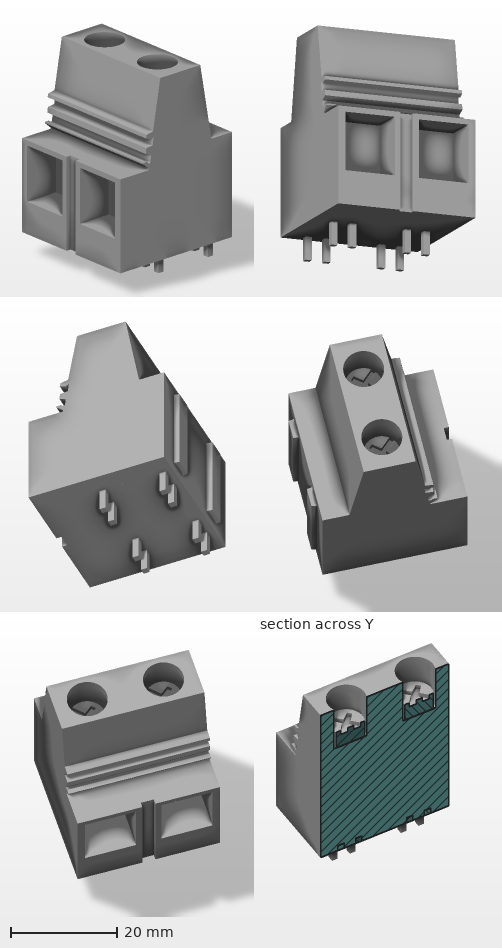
import cadquery as cq


width = 28.0
depth = 27.98
height = 36.95
front_shelf_z = 19.03
back_shelf_z = 21.25
tower_front_y = 10.0
tower_back_y = 20.0
tower_back_foot_y = 22.8

pole_pitch = 15.0
pole_x = [-pole_pitch / 2, pole_pitch / 2]

opening_width = 10.05
opening_height = 11.35
opening_depth = 7.2
opening_floor_z = 6.6
groove_width = 2.55
groove_depth = 1.0

rail_depth = 1.08
rail_root_width = 4.1
rail_tip_width = 3.75
rail_bottom_z = 2.1
rail_top_z = 19.15

screw_y = 15.0
access_hole_diameter = 7.7
access_hole_depth = 10.0
screw_diameter = 7.0
screw_height = 3.98
drive_depth = 1.0
blade_slot_width = 1.0
cross_length = 4.97
cross_tip_width = 1.0
cross_middle_width = 1.5
drive_angle = -45

leg_size = 1.25
leg_length = 4.5
leg_front_y = 13.55
leg_back_y = 25.95
clip_spacing = 3.85
clip_shift = 0.1
clip_x = [x + clip_shift + side * clip_spacing / 2 for x in pole_x for side in (-1, 1)]


def side_extrusion(points, length):
    """Extrude an outline of (y, z) points along X, centred on X = 0."""
    return cq.Workplane("YZ").polyline(points).close().extrude(length / 2, both=True)


def make_housing_blank():
    """Body without cuts or rails, with its sloped tower and the three fins across the tower's front."""
    upper_fin = [(8.15, 26.6), (6.55, 26.32), (6.42, 25.6), (7.4, 25.1), (8.35, 25.45)]
    middle_fin = [(8.1, 23.8), (6.5, 23.63), (6.35, 22.5), (7.7, 21.85)]
    lower_fin = [(7.5, 20.55), (7.17, 20.35), (6.67, 20.8), (5.75, 20.8), (5.75, 20.5), (7.15, 19.3)]
    fin_foot_y = lower_fin[-1][0]
    outline = [
        (0, 0),
        (depth, 0),
        (depth, back_shelf_z),
        (tower_back_foot_y, back_shelf_z),
        (tower_back_y, height),
        (tower_front_y, height),
        *upper_fin,
        *middle_fin,
        *lower_fin,
        (fin_foot_y, front_shelf_z),
        (0, front_shelf_z),
    ]
    return side_extrusion(outline, width)


def make_rail(x):
    """Rail on the back face, narrowing away from the housing."""
    outline = [
        (x - rail_root_width / 2, depth),
        (x + rail_root_width / 2, depth),
        (x + rail_tip_width / 2, depth + rail_depth),
        (x - rail_tip_width / 2, depth + rail_depth),
    ]
    rail = cq.Workplane("XY").workplane(offset=rail_bottom_z).polyline(outline).close()
    return rail.extrude(rail_top_z - rail_bottom_z)


def make_opening(x):
    """Rectangular wire opening, cut in from the front face."""
    opening = cq.Workplane("XY").box(
        opening_width, opening_depth, opening_height, centered=(True, False, False)
    )
    return opening.translate((x, 0, opening_floor_z))


def make_access_hole(x):
    """Round hole from the tower top down to the foot of the screw."""
    hole = cq.Workplane("XY").circle(access_hole_diameter / 2).extrude(access_hole_depth)
    return hole.translate((x, screw_y, height - access_hole_depth))


def make_clip(x):
    """Clip with a front and a back leg."""
    outline = [
        (leg_front_y - leg_size / 2, -leg_length),
        (leg_front_y + leg_size / 2, -leg_length),
        (leg_front_y + leg_size / 2, 0),
        (leg_back_y - leg_size / 2, 0),
        (leg_back_y - leg_size / 2, -leg_length),
        (leg_back_y + leg_size / 2, -leg_length),
        (leg_back_y + leg_size / 2, leg_size),
        (leg_front_y - leg_size / 2, leg_size),
    ]
    return side_extrusion(outline, leg_size).translate((x, 0, 0))


def make_screw(x):
    """Headless screw with a full-width blade slot crossed by a shorter, tapered slot."""
    cross_outline = [
        (-cross_middle_width / 2, 0),
        (-cross_tip_width / 2, cross_length / 2),
        (cross_tip_width / 2, cross_length / 2),
        (cross_middle_width / 2, 0),
        (cross_tip_width / 2, -cross_length / 2),
        (-cross_tip_width / 2, -cross_length / 2),
    ]
    drive_floor = cq.Workplane("XY").workplane(offset=screw_height - drive_depth)
    blade_slot = drive_floor.rect(screw_diameter, blade_slot_width).extrude(drive_depth)
    cross_slot = drive_floor.polyline(cross_outline).close().extrude(drive_depth)
    drive = blade_slot.union(cross_slot).rotate((0, 0, 0), (0, 0, 1), drive_angle)
    screw = cq.Workplane("XY").circle(screw_diameter / 2).extrude(screw_height).cut(drive)
    return screw.translate((x, screw_y, height - access_hole_depth))


def make_housing(clips):
    """Housing with rails, openings, access holes, front groove and a recess for each clip."""
    groove = cq.Workplane("XY").box(groove_width, groove_depth, front_shelf_z, centered=(True, False, False))
    housing = make_housing_blank().cut(groove)
    for x in pole_x:
        housing = housing.union(make_rail(x))
        housing = housing.cut(make_opening(x))
        housing = housing.cut(make_access_hole(x))
    for clip in clips:
        housing = housing.cut(clip)
    return housing


screws = [make_screw(x) for x in pole_x]
clips = [make_clip(x) for x in clip_x]
housing = make_housing(clips)

result = cq.Compound.makeCompound([
    housing.val(),
    *[screw.val() for screw in screws],
    *[clip.val() for clip in clips],
])